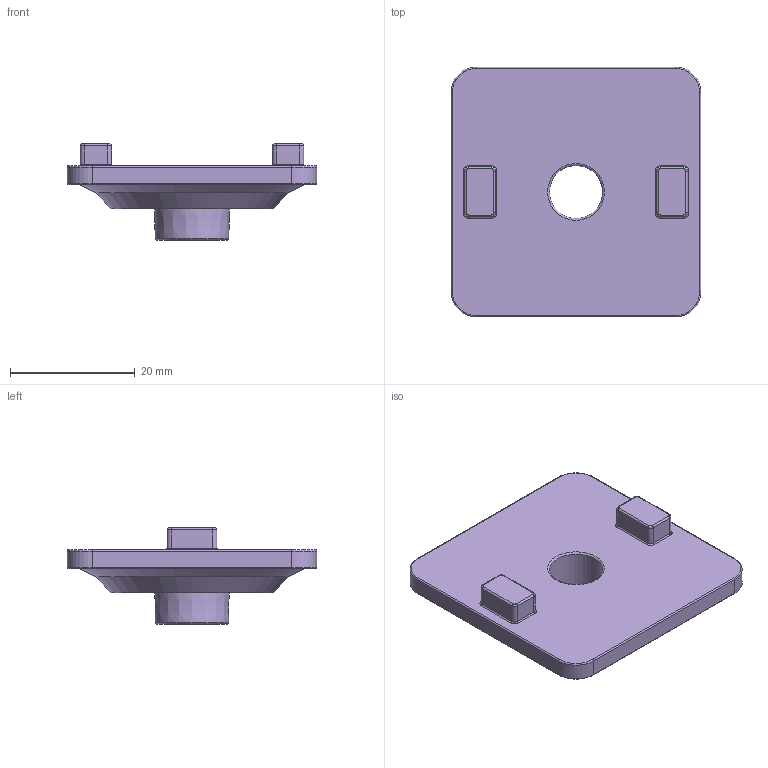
import cadquery as cq

plate_size = 40.0
plate_thickness = 3.0
plate_corner_radius = 4.0
plate_top_fillet = 0.2
plate_bottom_chamfer = 0.1

upper_cone_height = 1.3
lower_cone_height = 2.6
cone_top_radius = 18.0
cone_break_radius = 15.4
cone_bottom_radius = 13.1

spigot_length = 5.0
spigot_top_radius = 6.0
spigot_tip_radius = 5.9
spigot_tip_fillet = 0.3

hole_diameter = 8.5
hole_edge_fillet = 0.3

lug_size_x = 5.0
lug_size_y = 8.0
lug_height = 3.5
lug_offset_x = 15.4
lug_corner_radius = 0.65
lug_top_fillet = 0.3
lug_foot_fillet = 0.2

plate_bottom_z = -plate_thickness
cone_break_z = plate_bottom_z - upper_cone_height
cone_bottom_z = cone_break_z - lower_cone_height
spigot_tip_z = cone_bottom_z - spigot_length


def make_plate():
    """Rounded square plate with eased top and bottom rims."""
    plate = cq.Workplane("XY").workplane(offset=plate_bottom_z)
    plate = plate.rect(plate_size, plate_size).extrude(plate_thickness)
    plate = plate.edges("|Z").fillet(plate_corner_radius)
    plate = plate.faces(">Z").edges().fillet(plate_top_fillet)
    return plate.faces("<Z").edges().chamfer(plate_bottom_chamfer)


def make_underside():
    """Two-stage cone and spigot, turned about the Z axis."""
    overlap_z = plate_bottom_z / 2
    profile = (
        cq.Workplane("XZ")
        .moveTo(0, overlap_z)
        .lineTo(-cone_top_radius, overlap_z)
        .lineTo(-cone_top_radius, plate_bottom_z)
        .lineTo(-cone_break_radius, cone_break_z)
        .lineTo(-cone_bottom_radius, cone_bottom_z)
        .lineTo(-spigot_top_radius, cone_bottom_z)
        .lineTo(-spigot_tip_radius, spigot_tip_z)
        .lineTo(0, spigot_tip_z)
        .close()
    )
    turned = profile.revolve(360, (0, 0, 0), (0, 1, 0))
    return turned.faces("<Z").edges().fillet(spigot_tip_fillet)


def add_lug(body, center_x):
    """Add a rounded block to the plate and blend its foot into the top face."""
    lug = cq.Workplane("XY").center(center_x, 0)
    lug = lug.rect(lug_size_x, lug_size_y).extrude(lug_height)
    lug = lug.edges("|Z").fillet(lug_corner_radius)
    lug = lug.faces(">Z").edges().fillet(lug_top_fillet)
    body = body.union(lug)
    half_x = lug_size_x / 2
    half_y = lug_size_y / 2
    margin = lug_foot_fillet
    foot_edges = cq.selectors.BoxSelector(
        (center_x - half_x - margin, -half_y - margin, -margin),
        (center_x + half_x + margin, half_y + margin, margin),
        boundingbox=True,
    )
    return body.edges(foot_edges).fillet(lug_foot_fillet)


def cut_hole(body):
    """Bore the centre hole through everything and round its upper rim."""
    hole_radius = hole_diameter / 2
    bore = cq.Workplane("XY").workplane(offset=spigot_tip_z)
    bore = bore.circle(hole_radius).extrude(-spigot_tip_z)
    body = body.cut(bore)
    rim = cq.selectors.BoxSelector(
        (-hole_diameter, -hole_diameter, -hole_edge_fillet),
        (hole_diameter, hole_diameter, hole_edge_fillet),
        boundingbox=True,
    )
    return body.edges(rim).fillet(hole_edge_fillet)


result = cut_hole(make_plate().union(make_underside()))
for side in (-1, 1):
    result = add_lug(result, side * lug_offset_x)